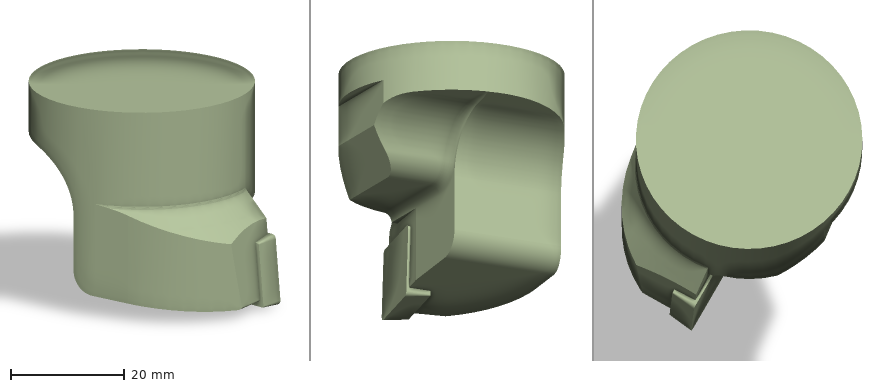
import cadquery as cq
import math

head_radius = 20.0
stock = 60.0
stock_depth = 45.0
back_flat_y = 18.0
back_flat_top = -6.0
back_bevel_top = -13.3
back_bevel_y = 12.05

slope = math.tan(math.radians(5.0))
shank_x = -4.42
relief_z = -9.05
relief_radius = 10.6
end_face_z = -34.32
end_corner_radius = 4.2

pocket_floor_y = 1.68
pocket_top_z = relief_z
pocket_bend_x = -13.6
pocket_ceiling_z = -20.35
pocket_upper_radius = relief_radius
pocket_lower_radius = 5.0
pocket_floor_radius = 1.55

bulge_straight = 6.4
bulge_radius = 21.0
shoulder_z = -17.6
shoulder_slope = math.tan(math.radians(48.0))
shoulder_blend = 0.3
end_inset = 1.30
bulge_corner_radius = 0.4

inscribed_circle = 12.7
corner_angle = 80.0
insert_thickness = 4.76
insert_relief = 7.0
nose_radius = 0.8
insert_proud = 0.5
insert_yaw = math.radians(7.4)
lead = math.radians(5.0)
nose_tip = (26.86, 0.06, -38.0)

rake_plane = cq.Plane(
    origin=nose_tip,
    xDir=(math.cos(insert_yaw), -math.sin(insert_yaw), 0),
    normal=(-math.sin(insert_yaw), -math.cos(insert_yaw), 0),
)

corner_reach = nose_radius / math.sin(math.radians(corner_angle / 2))
corner_bisector = lead + math.radians(corner_angle / 2)
corner_x = -nose_radius + corner_reach * math.cos(corner_bisector)
corner_y = nose_radius - corner_reach * math.sin(corner_bisector)


def make_insert():
    """Rhombic insert with rounded corners, tapering away from its rake face."""
    edge = inscribed_circle / math.sin(math.radians(corner_angle))
    end_dx, end_dy = -edge * math.cos(lead), edge * math.sin(lead)
    side_dx, side_dy = -edge * math.sin(lead), edge * math.cos(lead)
    rhombus = (
        cq.Sketch()
        .polygon([
            (corner_x, corner_y),
            (corner_x + side_dx, corner_y + side_dy),
            (corner_x + side_dx + end_dx, corner_y + side_dy + end_dy),
            (corner_x + end_dx, corner_y + end_dy),
            (corner_x, corner_y),
        ])
        .vertices()
        .fillet(nose_radius)
    )
    insert_face = cq.Workplane(rake_plane).placeSketch(rhombus)
    return insert_face.extrude(insert_thickness, taper=insert_relief)


def make_bulge():
    """Flank bulging past the head, under a conical shoulder, behind the holder's rake-side face."""
    flank_end = (bulge_straight + bulge_radius, bulge_radius - head_radius)
    diagonal = bulge_radius * math.sqrt(0.5)
    flank_middle = (bulge_straight + diagonal, bulge_radius - head_radius - diagonal)
    flank = (
        cq.Workplane("XY")
        .moveTo(0, -head_radius)
        .lineTo(bulge_straight, -head_radius)
        .threePointArc(flank_middle, flank_end)
        .lineTo(0, flank_end[1])
        .close()
        .extrude(-stock_depth)
    )
    shoulder_angle = math.atan(shoulder_slope)
    blend_radius = shoulder_blend / math.tan((math.pi / 2 - shoulder_angle) / 2)
    blend_end_x = head_radius + shoulder_blend * math.cos(shoulder_angle)
    blend_end_z = shoulder_z - shoulder_blend * math.sin(shoulder_angle)
    rim_z = shoulder_z - (stock - head_radius) * shoulder_slope
    shoulder = (
        cq.Workplane("XZ")
        .moveTo(0, shoulder_z + shoulder_blend)
        .lineTo(head_radius, shoulder_z + shoulder_blend)
        .radiusArc((blend_end_x, blend_end_z), -blend_radius)
        .lineTo(stock, rim_z)
        .lineTo(0, rim_z)
        .close()
        .revolve(360, (0, 0, 0), (0, 1, 0))
    )
    holder_face = (
        cq.Workplane(rake_plane)
        .workplane(offset=insert_proud)
        .rect(2 * stock, 2 * stock)
        .extrude(stock)
    )
    return flank.intersect(shoulder).intersect(holder_face)


def make_side_profile():
    """Kept side silhouette: head, relieved underside, shank wall and sloped end face."""
    def relief_at(x):
        return relief_z - (x + head_radius) * slope

    def end_at(x):
        return end_face_z - x * slope

    return (
        cq.Workplane("XZ")
        .polyline([
            (-stock, 0),
            (stock, 0),
            (stock, end_at(stock)),
            (shank_x, end_at(shank_x)),
            (shank_x, relief_at(shank_x)),
            (-stock, relief_at(-stock)),
        ])
        .close()
        .extrude(stock, both=True)
        .edges(cq.NearestToPointSelector((shank_x, 0, relief_at(shank_x))))
        .fillet(relief_radius)
        .edges(cq.NearestToPointSelector((shank_x, 0, end_at(shank_x))))
        .fillet(end_corner_radius)
    )


def make_chip_pocket():
    """Pocket with an S-shaped wall and a rounded floor edge."""
    drop = pocket_top_z - pocket_ceiling_z
    radius_sum = pocket_upper_radius + pocket_lower_radius
    turn = math.acos(1 - drop / radius_sum)
    meet_x = pocket_bend_x + pocket_upper_radius * math.sin(turn)
    meet_z = pocket_top_z - pocket_upper_radius * (1 - math.cos(turn))
    ceiling_start_x = pocket_bend_x + radius_sum * math.sin(turn)
    return (
        cq.Workplane("XZ", origin=(0, pocket_floor_y, 0))
        .moveTo(-stock, pocket_top_z)
        .lineTo(pocket_bend_x, pocket_top_z)
        .radiusArc((meet_x, meet_z), pocket_upper_radius)
        .radiusArc((ceiling_start_x, pocket_ceiling_z), -pocket_lower_radius)
        .lineTo(stock, pocket_ceiling_z)
        .lineTo(stock, -stock)
        .lineTo(-stock, -stock)
        .close()
        .extrude(-stock)
        .faces("<Y")
        .edges()
        .fillet(pocket_floor_radius)
    )


def make_rake_relief():
    """Tilted clearance below the pocket ceiling that leaves the insert slightly proud."""
    relief_top = cq.Workplane("XY", origin=(0, 0, pocket_ceiling_z - pocket_floor_radius))
    below_ceiling = relief_top.rect(2 * stock, 2 * stock).extrude(-stock)
    return (
        cq.Workplane(rake_plane)
        .workplane(offset=insert_proud)
        .rect(2 * stock, 2 * stock)
        .extrude(-stock)
        .intersect(below_ceiling)
    )


def make_end_trim():
    """Space beyond the bulge's end face, parallel to the insert's side cutting edge."""
    edge_x = corner_x - end_inset * math.cos(lead)
    edge_y = corner_y - end_inset * math.sin(lead)
    run = stock * math.tan(lead)
    return (
        cq.Workplane(rake_plane)
        .polyline([
            (edge_x + run, edge_y - stock),
            (edge_x - run, edge_y + stock),
            (stock, edge_y + stock),
            (stock, edge_y - stock),
        ])
        .close()
        .extrude(stock, both=True)
    )


def make_back_cut():
    """Flat and bevel on the +Y side of the head, ending at the pocket ceiling."""
    return (
        cq.Workplane("YZ")
        .polyline([
            (stock, back_flat_top),
            (back_flat_y, back_flat_top),
            (back_flat_y, back_bevel_top),
            (back_bevel_y, pocket_ceiling_z),
            (stock, pocket_ceiling_z),
        ])
        .close()
        .extrude(stock, both=True)
    )


def make_holder(insert):
    """Head, shank and bulge in one solid, with a seat that matches the insert."""
    head = cq.Workplane("XY").circle(head_radius).extrude(-stock_depth)
    outward = rake_plane.xDir * math.cos(lead) + rake_plane.yDir * math.sin(lead)
    blank = (
        head.union(make_bulge())
        .intersect(make_side_profile())
        .cut(make_back_cut())
        .cut(make_chip_pocket())
        .cut(make_rake_relief())
        .cut(make_end_trim())
    )
    end_face = blank.faces(cq.DirectionMinMaxSelector(outward))
    return end_face.edges("<Z").fillet(bulge_corner_radius).cut(insert)


insert = make_insert()
holder = make_holder(insert)
result = cq.Compound.makeCompound([holder.val(), insert.val()])